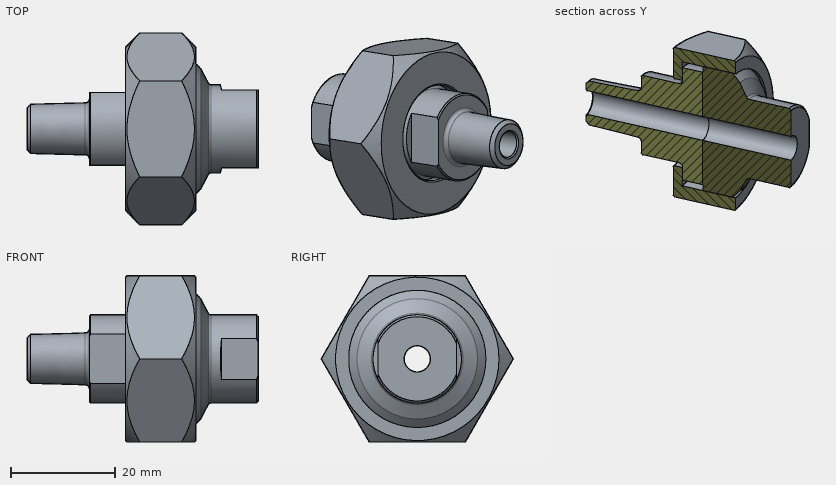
import cadquery as cq
import math

OVERALL_LENGTH = 44.5
BORE_RADIUS = 5.0 / 2

SPIGOT_TIP_RADIUS = 4.75
SPIGOT_ROOT_RADIUS = 5.05
SPIGOT_TIP_CHAMFER = 0.7
SPIGOT_ROOT_X = 11.15
SPIGOT_FILLET_END_RADIUS = 11.45 / 2
MOUTH_CHAMFER = 0.25
BARREL_START_X = 11.95
BARREL_RADIUS = 17.0 / 2
BARREL_CHAMFER = 0.25
BARREL_FLAT_OFFSET = 7.05
TAIL_FLANGE_RADIUS = 24.1 / 2
TAIL_FLANGE_FILLET = 0.75

NUT_START_X = 18.9
NUT_LENGTH = 13.57
NUT_ACROSS_FLATS = 32.0
NUT_FACE_RADIUS = 15.7
NUT_HOLE_RADIUS = 18.5 / 2
NUT_HOLE_CHAMFER = 0.25
NUT_LIP_THICKNESS = 2.0
NUT_CAVITY_RADIUS = 26.4 / 2

COLLAR_START_X = 25.35
COLLAR_RADIUS = NUT_CAVITY_RADIUS
COLLAR_NUT_END_RADIUS = 12.55
COLLAR_SHOULDER_X = 33.4
COLLAR_SHOULDER_RADIUS = 11.55
COLLAR_NECK_X = 35.0
COLLAR_NECK_RADIUS = BARREL_RADIUS
COLLAR_NECK_FILLET = 0.55
COLLAR_END_CHAMFER = 0.4
COLLAR_FLAT_OFFSET = 7.5
COLLAR_FLAT_START_X = 37.42
COLLAR_FLAT_RUNOUT = 0.25

NUT_END_X = NUT_START_X + NUT_LENGTH
CAVITY_START_X = NUT_START_X + NUT_LIP_THICKNESS


def revolve_about_x(profile):
    """Revolve a closed (x, radius) profile about the X axis."""
    return profile.close().revolve(360, (0, 0, 0), (1, 0, 0))


def make_tail():
    spigot_fillet_middle = (
        SPIGOT_ROOT_X + (BARREL_START_X - SPIGOT_ROOT_X) * math.sin(math.pi / 4),
        SPIGOT_FILLET_END_RADIUS
        - (SPIGOT_FILLET_END_RADIUS - SPIGOT_ROOT_RADIUS) * math.cos(math.pi / 4),
    )
    flange_fillet_middle = (
        CAVITY_START_X - TAIL_FLANGE_FILLET * (1 - math.sin(math.pi / 4)),
        BARREL_RADIUS + TAIL_FLANGE_FILLET * (1 - math.cos(math.pi / 4)),
    )
    tail = revolve_about_x(
        cq.Workplane("XY")
        .moveTo(0, BORE_RADIUS + MOUTH_CHAMFER)
        .lineTo(0, SPIGOT_TIP_RADIUS - SPIGOT_TIP_CHAMFER)
        .lineTo(SPIGOT_TIP_CHAMFER, SPIGOT_TIP_RADIUS)
        .lineTo(SPIGOT_ROOT_X, SPIGOT_ROOT_RADIUS)
        .threePointArc(spigot_fillet_middle, (BARREL_START_X, SPIGOT_FILLET_END_RADIUS))
        .lineTo(BARREL_START_X, BARREL_RADIUS - BARREL_CHAMFER)
        .lineTo(BARREL_START_X + BARREL_CHAMFER, BARREL_RADIUS)
        .lineTo(CAVITY_START_X - TAIL_FLANGE_FILLET, BARREL_RADIUS)
        .threePointArc(flange_fillet_middle, (CAVITY_START_X, BARREL_RADIUS + TAIL_FLANGE_FILLET))
        .lineTo(CAVITY_START_X, TAIL_FLANGE_RADIUS)
        .lineTo(COLLAR_START_X, TAIL_FLANGE_RADIUS)
        .lineTo(COLLAR_START_X, BORE_RADIUS)
        .lineTo(MOUTH_CHAMFER, BORE_RADIUS)
    )
    for side in (-1, 1):
        flat_cutter = (
            cq.Workplane("XY")
            .moveTo(BARREL_START_X, side * BARREL_FLAT_OFFSET)
            .lineTo(NUT_START_X, side * BARREL_FLAT_OFFSET)
            .lineTo(NUT_START_X, side * BARREL_RADIUS)
            .lineTo(BARREL_START_X, side * BARREL_RADIUS)
            .close()
            .extrude(BARREL_RADIUS, both=True)
        )
        tail = tail.cut(flat_cutter)
    return tail


def make_nut():
    corner_radius = NUT_ACROSS_FLATS / math.sqrt(3)
    corner_chamfer = corner_radius - NUT_FACE_RADIUS
    hexagon = (
        cq.Workplane("YZ", origin=(NUT_START_X, 0, 0))
        .polygon(6, 2 * corner_radius)
        .extrude(NUT_LENGTH)
    )
    beveled_blank = revolve_about_x(
        cq.Workplane("XY")
        .moveTo(NUT_START_X, 0)
        .lineTo(NUT_START_X, NUT_FACE_RADIUS)
        .lineTo(NUT_START_X + corner_chamfer, corner_radius)
        .lineTo(NUT_END_X - corner_chamfer, corner_radius)
        .lineTo(NUT_END_X, NUT_FACE_RADIUS)
        .lineTo(NUT_END_X, 0)
    )
    inside = revolve_about_x(
        cq.Workplane("XY")
        .moveTo(NUT_START_X, 0)
        .lineTo(NUT_START_X, NUT_HOLE_RADIUS + NUT_HOLE_CHAMFER)
        .lineTo(NUT_START_X + NUT_HOLE_CHAMFER, NUT_HOLE_RADIUS)
        .lineTo(CAVITY_START_X, NUT_HOLE_RADIUS)
        .lineTo(CAVITY_START_X, NUT_CAVITY_RADIUS)
        .lineTo(NUT_END_X, NUT_CAVITY_RADIUS)
        .lineTo(NUT_END_X, 0)
    )
    return hexagon.intersect(beveled_blank).cut(inside)


def make_collar():
    shoulder_drop = COLLAR_NUT_END_RADIUS - COLLAR_SHOULDER_RADIUS
    shoulder_slope = shoulder_drop / (COLLAR_SHOULDER_X - NUT_END_X)
    cone_start_x = NUT_END_X - (COLLAR_RADIUS - COLLAR_NUT_END_RADIUS) / shoulder_slope
    collar = revolve_about_x(
        cq.Workplane("XY")
        .moveTo(COLLAR_START_X, BORE_RADIUS)
        .lineTo(COLLAR_START_X, COLLAR_RADIUS)
        .lineTo(cone_start_x, COLLAR_RADIUS)
        .lineTo(COLLAR_SHOULDER_X, COLLAR_SHOULDER_RADIUS)
        .lineTo(COLLAR_NECK_X, COLLAR_NECK_RADIUS)
        .lineTo(OVERALL_LENGTH - COLLAR_END_CHAMFER, COLLAR_NECK_RADIUS)
        .lineTo(OVERALL_LENGTH, COLLAR_NECK_RADIUS - COLLAR_END_CHAMFER)
        .lineTo(OVERALL_LENGTH, BORE_RADIUS)
    )
    neck_corner = cq.selectors.BoxSelector(
        (COLLAR_NECK_X - COLLAR_NECK_FILLET, -COLLAR_RADIUS, -COLLAR_RADIUS),
        (COLLAR_NECK_X + COLLAR_NECK_FILLET, COLLAR_RADIUS, COLLAR_RADIUS),
    )
    collar = collar.edges("%CIRCLE").edges(neck_corner).fillet(COLLAR_NECK_FILLET)

    for side in (-1, 1):
        flat_cutter = (
            cq.Workplane("XY")
            .moveTo(COLLAR_FLAT_START_X, side * COLLAR_FLAT_OFFSET)
            .lineTo(OVERALL_LENGTH, side * COLLAR_FLAT_OFFSET)
            .lineTo(OVERALL_LENGTH, side * COLLAR_NECK_RADIUS)
            .lineTo(COLLAR_FLAT_START_X - COLLAR_FLAT_RUNOUT, side * COLLAR_NECK_RADIUS)
            .close()
            .extrude(COLLAR_NECK_RADIUS, both=True)
        )
        collar = collar.cut(flat_cutter)
    return collar


tail = make_tail()
nut = make_nut()
collar = make_collar()

result = cq.Compound.makeCompound([body.solids().val() for body in (tail, nut, collar)])